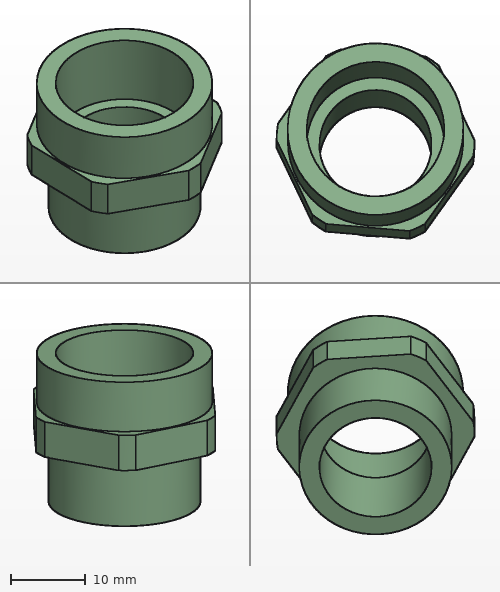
import cadquery as cq

spigot_length = 9.0
hex_height = 5.0
socket_length = 7.0
total_length = spigot_length + hex_height + socket_length

spigot_diameter = 20.4
socket_diameter = 23.5
hex_across_flats = 24.0
hex_corner_diameter = 26.5
hex_sides = 6

bore_diameter = 15.0
counterbore_diameter = 18.4
counterbore_depth = 10.0


def cylinder(diameter, height, base_z):
    """Upright cylinder on the part axis."""
    return cq.Workplane("XY").workplane(offset=base_z).circle(diameter / 2).extrude(height)


def make_hex_collar():
    """Hexagonal wrench collar with its corners turned down to a cylinder; two flats face X."""
    prism = (
        cq.Workplane("XY")
        .workplane(offset=spigot_length)
        .polygon(hex_sides, hex_across_flats, circumscribed=True)
        .extrude(hex_height)
    )
    return prism.intersect(cylinder(hex_corner_diameter, hex_height, spigot_length))


def make_outer_body():
    """Lower spigot, hexagonal collar and upper socket, stacked along Z."""
    spigot = cylinder(spigot_diameter, spigot_length, 0)
    socket = cylinder(socket_diameter, socket_length, spigot_length + hex_height)
    return spigot.union(make_hex_collar()).union(socket)


def cut_stepped_bore(body):
    """Through bore, widened by a counterbore from the top end."""
    counterbore_floor = total_length - counterbore_depth
    bore = cylinder(bore_diameter, total_length, 0)
    counterbore = cylinder(counterbore_diameter, counterbore_depth, counterbore_floor)
    return body.cut(bore).cut(counterbore)


result = cut_stepped_bore(make_outer_body())